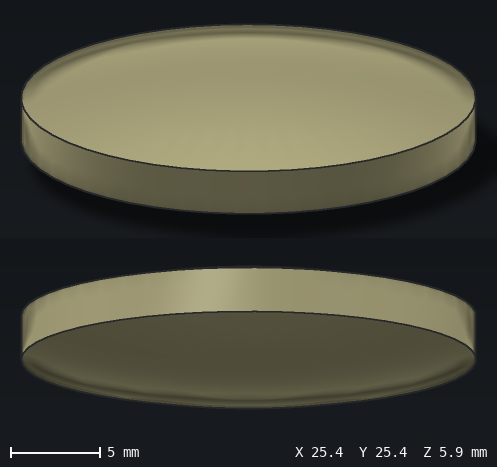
import cadquery as cq

diameter = 25.4
edge_thickness = 2.51
centre_thickness = 5.9

radius = diameter / 2
half_edge = edge_thickness / 2
half_centre = centre_thickness / 2
cap_height = half_centre - half_edge
sphere_radius = (radius**2 + cap_height**2) / (2 * cap_height)

mid_radius = radius / 2
mid_height = half_centre - sphere_radius + (sphere_radius**2 - mid_radius**2) ** 0.5

half_section = (
    cq.Workplane("XZ")
    .moveTo(0, -half_centre)
    .threePointArc((mid_radius, -mid_height), (radius, -half_edge))
    .lineTo(radius, half_edge)
    .threePointArc((mid_radius, mid_height), (0, half_centre))
    .close()
)
result = half_section.revolve(360, (0, 0), (0, 1))